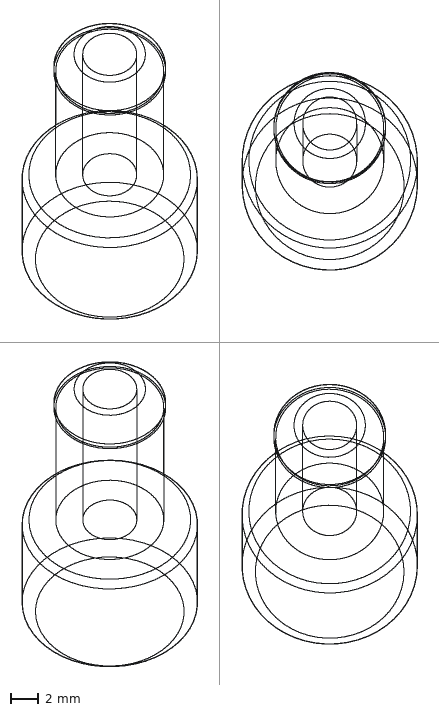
import cadquery as cq

total_height = 24.25
head_diameter = 13.0
head_height = 10.0
head_bottom_chamfer = 1.0
head_top_chamfer = 0.5

shank_diameter = 8.0
lip_diameter = 8.3
lip_height = 0.5
nose_height = 1.5

bore_diameter = 4.0
bore_depth = total_height - head_height


def cylinder(diameter, bottom, height):
    """Solid cylinder about the Z axis, starting at the given level."""
    return cq.Workplane("XY").workplane(offset=bottom).circle(diameter / 2).extrude(height)


head = (
    cylinder(head_diameter, 0, head_height)
    .faces("<Z").chamfer(head_bottom_chamfer)
    .faces(">Z").chamfer(head_top_chamfer)
)

shank = cylinder(shank_diameter, 0, total_height - nose_height)

tip_height = lip_height + nose_height
tip = cylinder(lip_diameter, total_height - tip_height, tip_height).faces(">Z").chamfer(nose_height)

bore = cylinder(bore_diameter, total_height - bore_depth, bore_depth)

result = head.union(shank).union(tip).cut(bore)